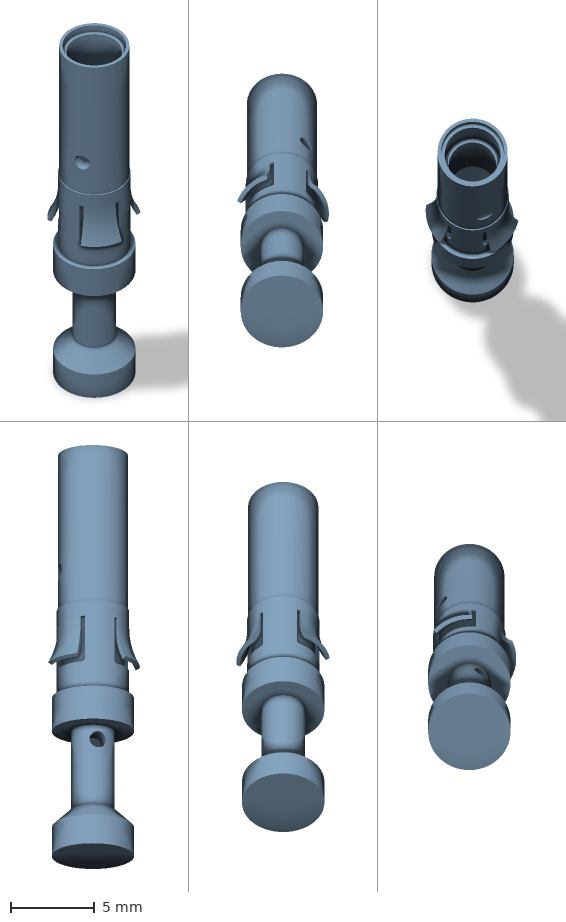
import cadquery as cq
import math

contact_height = 25.2
foot_radius = 2.465
foot_height = 1.8
foot_cone_height = 1.1
stem_radius = 1.3
collar_radius = foot_radius
collar_bottom = 7.85
collar_top = 9.93
seat_radius = 1.9
barrel_radius = 2.1

mouth_radius = 1.9
mouth_depth = 0.5
upper_bore_radius = 1.67
upper_bore_depth = 3.0
lower_bore_radius = 1.43
lower_bore_depth = 8.5
drill_point_angle = 118

cross_hole_diameter = 1.0
barrel_hole_z = 17.75
stem_hole_z = 6.95

sleeve_radius = 2.17
sleeve_bottom = collar_top
sleeve_top = 15.4

tab_angles = (56, 179, 300)
window_width = 2.4
window_bottom = 11.6
window_top = 14.45
window_corner_radius = 0.2
tab_span_angle = 53
tab_root_z = 14.35
tab_tip_radius = 2.81
tab_tip_z = 11.92


def make_bore():
    """Cavity of the stepped bore with its drill point."""
    point_depth = lower_bore_radius / math.tan(math.radians(drill_point_angle / 2))
    mouth_floor = contact_height - mouth_depth
    upper_floor = contact_height - upper_bore_depth
    lower_floor = contact_height - lower_bore_depth
    return (
        cq.Workplane("XZ")
        .moveTo(0, contact_height)
        .lineTo(mouth_radius, contact_height)
        .lineTo(mouth_radius, mouth_floor)
        .lineTo(upper_bore_radius, mouth_floor)
        .lineTo(upper_bore_radius, upper_floor)
        .lineTo(lower_bore_radius, upper_floor)
        .lineTo(lower_bore_radius, lower_floor)
        .lineTo(0, lower_floor - point_depth)
        .close()
        .revolve(360, (0, 0), (0, 1))
    )


def make_cross_hole(z, direction):
    """Cylinder from the part axis outwards through one wall."""
    return cq.Workplane(
        cq.Solid.makeCylinder(
            cross_hole_diameter / 2,
            collar_radius,
            cq.Vector(0, 0, z),
            cq.Vector(*direction),
        )
    )


def make_contact():
    blank = (
        cq.Workplane("XZ")
        .moveTo(0, 0)
        .lineTo(foot_radius, 0)
        .lineTo(foot_radius, foot_height)
        .lineTo(stem_radius, foot_height + foot_cone_height)
        .lineTo(stem_radius, collar_bottom)
        .lineTo(collar_radius, collar_bottom)
        .lineTo(collar_radius, collar_top)
        .lineTo(seat_radius, collar_top)
        .lineTo(seat_radius, sleeve_top)
        .lineTo(barrel_radius, sleeve_top)
        .lineTo(barrel_radius, contact_height)
        .lineTo(0, contact_height)
        .close()
        .revolve(360, (0, 0), (0, 1))
    )
    return (
        blank.cut(make_bore())
        .cut(make_cross_hole(barrel_hole_z, (0, -1, 0)))
        .cut(make_cross_hole(stem_hole_z, (1, 0, 0)))
    )


def make_window_cutter():
    """Window through the sleeve wall on the +X side, with rounded lower corners.

    A strip as wide as the tab stays uncut at the top and carries the tab root.
    """
    window_height = window_top - window_bottom
    window = (
        cq.Workplane("XY")
        .box(sleeve_radius, window_width, window_height, centered=(False, True, False))
        .edges("|X and <Z")
        .fillet(window_corner_radius)
        .translate((sleeve_radius / 2, 0, window_bottom))
    )
    strip_reach = 2 * sleeve_radius
    strip_half_width = strip_reach * math.tan(math.radians(tab_span_angle / 2))
    root_strip = (
        cq.Workplane("XY", origin=(0, 0, tab_root_z))
        .polyline([(0, 0), (strip_reach, -strip_half_width), (strip_reach, strip_half_width)])
        .close()
        .extrude(window_height)
    )
    return window.cut(root_strip)


def make_tab():
    """Spring tab on the +X side: a sector of a revolved strip flaring outwards as it goes down."""
    thickness = sleeve_radius - seat_radius
    drop = tab_root_z - tab_tip_z
    flare = tab_tip_radius - sleeve_radius
    bend_radius = (drop**2 + flare**2) / (2 * flare)
    bend_angle = math.asin(drop / bend_radius)
    bend_center_r = sleeve_radius + bend_radius

    def arc_point(radius, angle):
        return (bend_center_r - radius * math.cos(angle), tab_root_z - radius * math.sin(angle))

    inner_bend_radius = bend_radius + thickness
    return (
        cq.Workplane("XZ")
        .moveTo(sleeve_radius, tab_root_z)
        .threePointArc(arc_point(bend_radius, bend_angle / 2), arc_point(bend_radius, bend_angle))
        .lineTo(*arc_point(inner_bend_radius, bend_angle))
        .threePointArc(arc_point(inner_bend_radius, bend_angle / 2), (seat_radius, tab_root_z))
        .close()
        .revolve(tab_span_angle, (0, 0), (0, 1))
        .rotate((0, 0, 0), (0, 0, 1), -tab_span_angle / 2)
    )


def make_clip_sleeve():
    sleeve = (
        cq.Workplane("XY", origin=(0, 0, sleeve_bottom))
        .circle(sleeve_radius)
        .circle(seat_radius)
        .extrude(sleeve_top - sleeve_bottom)
    )
    for angle in tab_angles:
        sleeve = sleeve.cut(make_window_cutter().rotate((0, 0, 0), (0, 0, 1), angle))
        sleeve = sleeve.union(make_tab().rotate((0, 0, 0), (0, 0, 1), angle))
    return cq.Workplane(sleeve.solids().val())


contact = make_contact()
clip_sleeve = make_clip_sleeve()

result = cq.Compound.makeCompound([contact.val(), clip_sleeve.val()])